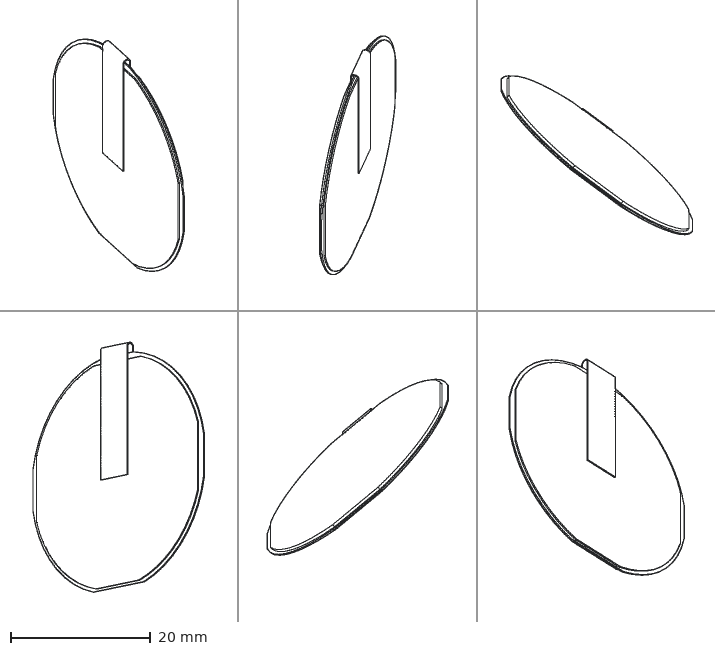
import cadquery as cq

carrier_diameter = 35.05
carrier_width = 34.5
carrier_bottom = 16.75
carrier_thickness = 0.2

disc_diameter = 33.97
disc_width = 32.52
disc_bottom = 16.42
disc_top = 16.3
back_disc_thickness = 0.42
front_disc_thickness = 0.2

overall_height = 35.4
overall_depth = 1.55
strip_width = 5.4
strip_thickness = 0.18
front_leg_length = 19.45
back_leg_length = 1.88

carrier_front_y = -carrier_thickness
strip_back_y = strip_thickness
strip_front_y = back_disc_thickness - overall_depth
strip_top = overall_height - carrier_bottom
bend_radius = (strip_back_y - strip_front_y) / 2
bend_center_y = (strip_back_y + strip_front_y) / 2
bend_center_z = strip_top - bend_radius


def trimmed_disc(diameter, half_width, bottom, top, back_y, thickness):
    """Disc facing -Y, cut flat at the sides, bottom and top."""
    disc = (
        cq.Workplane("XZ", origin=(0, back_y, 0))
        .circle(diameter / 2)
        .extrude(thickness)
    )
    trim = (
        cq.Workplane("XZ", origin=(0, back_y, (top - bottom) / 2))
        .rect(2 * half_width, top + bottom)
        .extrude(thickness)
    )
    return disc.intersect(trim)


def bonded_disc(back_y, thickness):
    return trimmed_disc(disc_diameter, disc_width / 2, disc_bottom, disc_top, back_y, thickness)


def terminal_strip():
    """J-shaped strip with a half-round bend at its top."""
    inner_radius = bend_radius - strip_thickness
    front_end_z = strip_top - front_leg_length
    back_end_z = strip_top - back_leg_length
    return (
        cq.Workplane("YZ")
        .moveTo(strip_front_y, front_end_z)
        .lineTo(strip_front_y, bend_center_z)
        .threePointArc((bend_center_y, strip_top), (strip_back_y, bend_center_z))
        .lineTo(strip_back_y, back_end_z)
        .lineTo(strip_back_y - strip_thickness, back_end_z)
        .lineTo(strip_back_y - strip_thickness, bend_center_z)
        .threePointArc(
            (bend_center_y, bend_center_z + inner_radius),
            (strip_front_y + strip_thickness, bend_center_z),
        )
        .lineTo(strip_front_y + strip_thickness, front_end_z)
        .close()
        .extrude(strip_width / 2, both=True)
    )


carrier = trimmed_disc(
    carrier_diameter, carrier_width / 2, carrier_bottom, carrier_width / 2, 0, carrier_thickness
)
back_disc = bonded_disc(back_disc_thickness, back_disc_thickness)
front_disc = bonded_disc(carrier_front_y, front_disc_thickness)

result = carrier.union(back_disc).union(front_disc).union(terminal_strip())